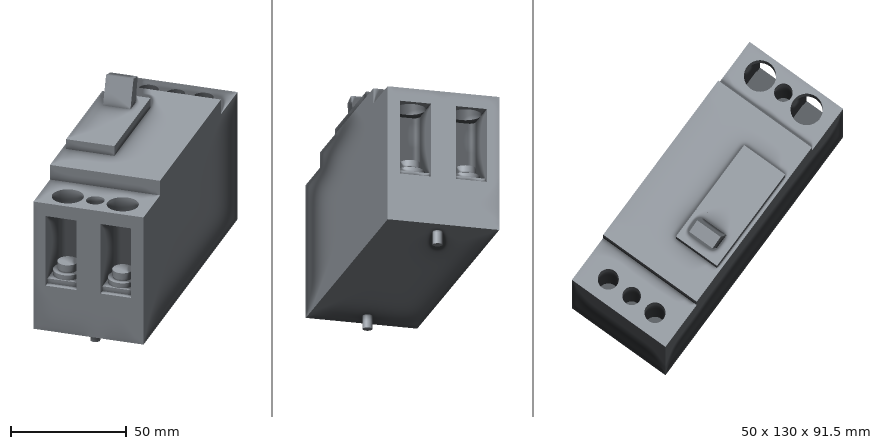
import cadquery as cq

length = 130.0
width = 50.0
end_top = 61.1
deck_top = 68.1
deck_length = 84.2

pole_offset = 12.5
row_offset = 55.5
front_row = -row_offset
rear_row = row_offset
pole_places = (-pole_offset, pole_offset)

well_width = 13.9
slot_bottom = 21.6
slot_top = 55.0
slot_corner_radius = 2.7
slot_back = -45.0

plate_front = front_row - well_width / 2
plate_thickness = 2.3
washer_diameter = 12.9
washer_thickness = 2.3
neck_diameter = 8.5
neck_height = 0.8
head_diameter = 9.1
head_height = 3.1

access_diameter = 9.1
hole_depth = 31.2
hole_floor = end_top - hole_depth

screw_hole_diameter = 8.0
screw_head_height = 3.9
shank_diameter = 4.3
shank_projection = 6.0

bezel_x = -12.4
bezel_width = 22.0
bezel_length = 49.9
bezel_top = 72.8
window_width = 12.5
window_front = -16.8

lever_base_front = 11.6
lever_base_back = 18.7
lever_tip_front = (15.9, 85.5)
lever_tip_back = (21.7, 84.0)


def box(x_center, x_size, y_range, z_range):
    """Block centred on x_center that fills the given y and z ranges."""
    y_low, y_high = y_range
    z_low, z_high = z_range
    return cq.Workplane("XY").box(
        x_size, y_high - y_low, z_high - z_low, centered=(True, False, False)
    ).translate((x_center, y_low, z_low))


def cylinder(x, y, diameter, bottom, top):
    """Upright cylinder between two heights."""
    return cq.Workplane("XY", origin=(x, y, bottom)).circle(diameter / 2).extrude(top - bottom)


def slot_block(x, front, top):
    """Block that fills the slot from the given front up to the given top, with rounded rear corners."""
    block = box(x, well_width, (front, slot_back), (slot_bottom, top))
    return block.edges("|Z and >Y").fillet(slot_corner_radius)


def make_mounting_screw(y):
    """Screw whose head fills its hole and whose shank sticks out of the underside."""
    head_bottom = hole_floor - screw_head_height
    shank = cylinder(0, y, shank_diameter, -shank_projection, head_bottom)
    head = cylinder(0, y, screw_hole_diameter, head_bottom, hole_floor)
    return shank.union(head)


def make_terminal(x):
    """Plate on the slot floor with a washer, neck and screw head stacked on it."""
    plate_top = slot_bottom + plate_thickness
    terminal = slot_block(x, plate_front, plate_top)
    bottom = plate_top
    for diameter, height in (
        (washer_diameter, washer_thickness),
        (neck_diameter, neck_height),
        (head_diameter, head_height),
    ):
        terminal = terminal.union(cylinder(x, front_row, diameter, bottom, bottom + height))
        bottom += height
    return terminal


def make_housing(mounting_screws):
    """Stepped case with terminal wells, access holes and mounting holes."""
    case = box(0, width, (-length / 2, length / 2), (0, end_top))
    case = case.union(box(0, width, (-deck_length / 2, deck_length / 2), (end_top, deck_top)))
    for x in pole_places:
        case = case.cut(slot_block(x, -length / 2, slot_top))
        case = case.cut(cylinder(x, front_row, well_width, slot_top, end_top))
        case = case.cut(cylinder(x, rear_row, access_diameter, hole_floor, end_top))
    for y, screw in zip((front_row, rear_row), mounting_screws):
        case = case.cut(cylinder(0, y, screw_hole_diameter, hole_floor, end_top))
        case = case.cut(screw)
    return case


def make_window():
    """Block that fills the bezel window."""
    return box(bezel_x, window_width, (window_front, lever_base_back), (deck_top, bezel_top))


def make_bezel():
    """Flat frame on the deck around the toggle."""
    frame = box(bezel_x, bezel_width, (-bezel_length / 2, bezel_length / 2), (deck_top, bezel_top))
    return frame.cut(make_window())


def make_toggle():
    """Slide that fills the window, with the leaning lever on its rear end."""
    lever = (
        cq.Workplane("YZ", origin=(bezel_x, 0, 0))
        .polyline([
            (lever_base_front, bezel_top),
            lever_tip_front,
            lever_tip_back,
            (lever_base_back, bezel_top),
        ])
        .close()
        .extrude(window_width / 2, both=True)
    )
    return make_window().union(lever)


mounting_screws = [make_mounting_screw(y) for y in (front_row, rear_row)]
terminals = [make_terminal(x) for x in pole_places]
housing = make_housing(mounting_screws)
bezel = make_bezel()
toggle = make_toggle()

result = cq.Compound.makeCompound([
    housing.val(),
    bezel.val(),
    toggle.val(),
    *[screw.val() for screw in mounting_screws],
    *[terminal.val() for terminal in terminals],
])